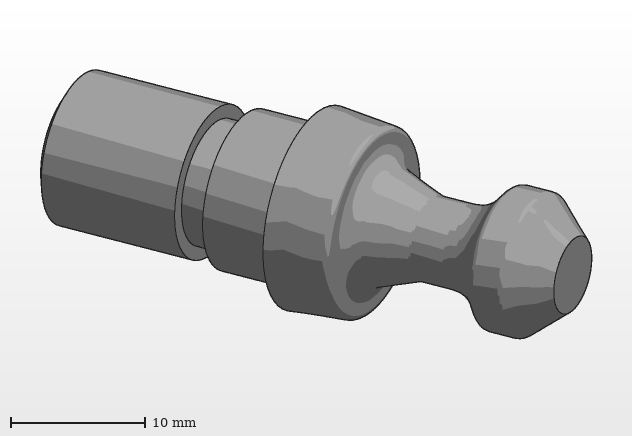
import cadquery as cq
import math

groove_start = 12.0
collar_start = 14.5
flange_start = 20.5
flange_end = 25.75
neck_start = 30.45
overall_length = 42.5

shank_diameter = 12.0
groove_diameter = 9.85
collar_diameter = 12.5
flange_diameter = 15.8
neck_diameter = 6.6
head_diameter = 11.3
tip_diameter = 6.0

bevel_length = 0.7
bevel_end_diameter = 9.6

flange_taper = 5.0
shoulder_angle = 20.0
head_back_angle = 50.0
head_front_angle = 40.0

flange_round = 0.5
shoulder_round = 2.0
neck_start_round = 0.5
neck_end_round = 3.5
head_round = 0.5

head_back = 36.85


def cone_length(large_diameter, small_diameter, angle):
    """Axial length of a cone between two diameters."""
    return (large_diameter - small_diameter) / 2 / math.tan(math.radians(angle))


def cone_rise(length, angle):
    """Change of diameter of a cone over an axial length."""
    return 2 * length * math.tan(math.radians(angle))


flange_end_diameter = flange_diameter - cone_rise(flange_end - flange_start, flange_taper)
shoulder_diameter = neck_diameter + cone_rise(neck_start - flange_end, shoulder_angle)
neck_end = head_back - cone_length(head_diameter, neck_diameter, head_back_angle)
head_front = overall_length - cone_length(head_diameter, tip_diameter, head_front_angle)


def turned_body():
    """Revolve the sharp-cornered profile about the X axis."""
    corners = [
        (0, bevel_end_diameter),
        (bevel_length, shank_diameter),
        (groove_start, shank_diameter),
        (groove_start, groove_diameter),
        (collar_start, groove_diameter),
        (collar_start, collar_diameter),
        (flange_start, collar_diameter),
        (flange_start, flange_diameter),
        (flange_end, flange_end_diameter),
        (flange_end, shoulder_diameter),
        (neck_start, neck_diameter),
        (neck_end, neck_diameter),
        (head_back, head_diameter),
        (head_front, head_diameter),
        (overall_length, tip_diameter),
    ]
    outline = [(x, diameter / 2) for x, diameter in corners]
    profile = cq.Workplane("XY").moveTo(0, 0)
    for point in outline:
        profile = profile.lineTo(*point)
    profile = profile.lineTo(overall_length, 0).close()
    return profile.revolve(360, (0, 0, 0), (1, 0, 0))


def round_rim(body, x, diameter, rounding):
    """Round the circular edge of the given diameter at station x."""
    tolerance = 0.01

    def is_rim(edge):
        if edge.geomType() != "CIRCLE":
            return False
        same_station = abs(edge.Center().x - x) < tolerance
        same_size = abs(edge.radius() - diameter / 2) < tolerance
        return same_station and same_size

    return body.edges().filter(is_rim).fillet(rounding)


roundings = [
    (flange_end, flange_end_diameter, flange_round),
    (flange_end, shoulder_diameter, shoulder_round),
    (neck_start, neck_diameter, neck_start_round),
    (neck_end, neck_diameter, neck_end_round),
    (head_back, head_diameter, head_round),
    (head_front, head_diameter, head_round),
]

result = turned_body()
for station, rim_diameter, rim_rounding in roundings:
    result = round_rim(result, station, rim_diameter, rim_rounding)